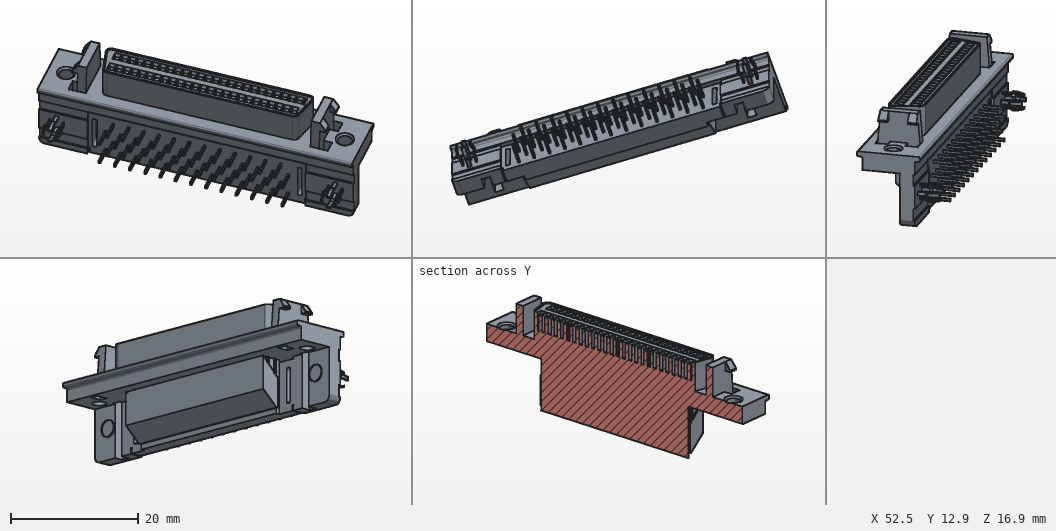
import cadquery as cq

LENGTH = 52.45
HALF_LENGTH = LENGTH / 2

FLANGE_DEPTH = 10.3
FLANGE_THICKNESS = 0.85
FLANGE_ROUNDING = 0.25
BODY_BACK = 4.25
BODY_FRONT = -4.35
BODY_BOTTOM = -3.05
BODY_ROUNDING = 0.25

FOOT_BOTTOM = -11.85

LEG_INNER_X = 18.2
LEG_BACK = -1.9
LEG_FRONT = -4.1
LEG_CORNER_RADIUS = 1.05
PAD_TOP = -4.9
PAD_BOTTOM = -8.75
TOE_TOP = -10.75

BOARD_TOP = -3.4
BOARD_BACK = LEG_BACK
BOARD_FRONT = -3.9
BOARD_GAP = 0.25
BOARD_GAP_TOP = -10.9
SLOT_X = 17.1
SLOT_WIDTH = 0.75
SLOT_TOP = -4.6
SLOT_BOTTOM = -10.45

CONTACT_COUNT = 25
PITCH = 1.27
CAVITY_WIDTH = 1.05
CAVITY_DEPTH = 3.15
CAVITY_ROWS = ((0.6, 2.05), (-2.0, -0.45))
REAR_LEAD_WIDTH = 0.4
REAR_LEAD_DEPTH = 0.85
FRONT_LEAD_SIZE = 0.2
CONTACT_WIDTH = 0.8
CONTACT_DROP = 0.4
KEY_SLOT_X = (15.95, 16.25)
KEY_SLOT_DEPTH = 0.5

PIN_WIDTH = 0.3
PIN_HEIGHT = 0.4
PIN_TIP = -7.0
PIN_TOP_ROW = -4.8
PIN_ROW_PITCH = 1.5 * PITCH
PIN_ROWS = 4

TAIL_HALF_WIDTH = 15.35
TAIL_BACK = 1.95
TAIL_PLATE_BACK = -1.2
TAIL_SLOPE_BOTTOM = -6.05
CHEEK_BACK_BOTTOM = -8.5
CHEEK_TOE_BACK = -0.95
CHEEK_BOTTOM = -10.95
TAIL_RECESS = 0.25
TAIL_WIRE_WIDTH = 0.3
TAIL_WIRE_Y = (0.8, -0.8)

SHELL_HEIGHT = 4.9
SHELL_TOP_Y = 2.8
SHELL_BOTTOM_Y = -2.9
SHELL_TOP_HALF_WIDTH = 17.5
SHELL_BOTTOM_HALF_WIDTH = 16.15
SHELL_CORNER_RADIUS = 0.9
SHELL_WALL = 0.25
INSERT_DROP = 0.1

LATCH_HEIGHT = 5.05
LATCH_INNER_X = 18.7
LATCH_OUTER_X = 20.2
HOOK_TIP_X = 21.15
HOOK_TIP_TOP = 3.7
HOOK_BOTTOM = 3.45
HOOK_INNER_Y = 1.7
LATCH_BASE_HALF_DEPTH = 3.45
LATCH_TOP_HALF_DEPTH = 3.05
WINDOW_OUTER_X = 21.6
WINDOW_INNER_Y = 1.4

SCREW_X = 23.25
SCREW_DIAMETER = 2.3
SCREW_CHAMFER = 0.3

LOCK_Z = PIN_TOP_ROW - PIN_ROW_PITCH
LOCK_BUTTON_DIAMETER = 2.75
LOCK_BUTTON_HEIGHT = 0.15
PRONG_WIDTH = 0.65
PRONG_THICKNESS = 0.25
PRONG_ROOT_OFFSET = 1.0
PRONG_BOW_OFFSET = 1.25
PRONG_TIP_OFFSET = 0.95
PRONG_BEND_START = -5.65
PRONG_BOW_START = -6.05
PRONG_BOW_END = -6.6
PRONG_TIP = -7.8


def box(x_range, y_range, z_range):
    """Box between two coordinates on each axis."""
    (x0, x1), (y0, y1), (z0, z1) = x_range, y_range, z_range
    return cq.Workplane("XY").box(x1 - x0, y1 - y0, z1 - z0, centered=False).translate((x0, y0, z0))


def both_ends(shape):
    """The shape and its mirror image at the other end of the connector."""
    return shape.union(shape.mirror("YZ"))


def extrude_along_x(points, half_width):
    """Y-Z outline extruded equally to both sides of X = 0."""
    return cq.Workplane("YZ").polyline(points).close().extrude(half_width, both=True)


def make_flange_and_body():
    half_depth = FLANGE_DEPTH / 2
    outline = [
        (-half_depth, 0),
        (half_depth, 0),
        (half_depth, -FLANGE_THICKNESS),
        (BODY_BACK, -FLANGE_THICKNESS),
        (BODY_BACK, BODY_BOTTOM),
        (BODY_FRONT, BODY_BOTTOM),
        (BODY_FRONT, -FLANGE_THICKNESS),
        (-half_depth, -FLANGE_THICKNESS),
    ]
    body = extrude_along_x(outline, HALF_LENGTH)
    body = body.edges("|X").edges("<Y or >Y").fillet(FLANGE_ROUNDING)
    for y in (BODY_BACK, BODY_FRONT):
        inner_edge = cq.selectors.NearestToPointSelector((0, y, -FLANGE_THICKNESS))
        body = body.edges("|X").edges(inner_edge).fillet(BODY_ROUNDING)
    return body


def make_leg():
    """Leg at the +X end, with its raised pad, toe and board-lock button."""
    across = (LEG_INNER_X, HALF_LENGTH)
    leg = box(across, (LEG_FRONT, LEG_BACK), (FOOT_BOTTOM, BODY_BOTTOM))
    leg = leg.union(box(across, (BODY_FRONT, LEG_BACK), (PAD_BOTTOM, PAD_TOP)))
    leg = leg.union(box(across, (BODY_FRONT, LEG_BACK), (FOOT_BOTTOM, TOE_TOP)))
    leg = leg.edges("|Y and >X and <Z").fillet(LEG_CORNER_RADIUS)
    button = (
        cq.Workplane("XZ", origin=(SCREW_X, LEG_BACK + LOCK_BUTTON_HEIGHT, LOCK_Z))
        .circle(LOCK_BUTTON_DIAMETER / 2)
        .extrude(2 * LOCK_BUTTON_HEIGHT)
    )
    return leg.union(button)


def make_pin_board():
    board_y = (BOARD_FRONT, BOARD_BACK)
    board = box((-LEG_INNER_X, LEG_INNER_X), board_y, (FOOT_BOTTOM, BOARD_TOP))
    gap = box((LEG_INNER_X - BOARD_GAP, LEG_INNER_X), board_y, (FOOT_BOTTOM, BOARD_GAP_TOP))
    slots = (
        cq.Workplane("XZ", origin=(0, BOARD_BACK, (SLOT_TOP + SLOT_BOTTOM) / 2))
        .pushPoints([(-SLOT_X, 0), (SLOT_X, 0)])
        .slot2D(SLOT_TOP - SLOT_BOTTOM, SLOT_WIDTH, 90)
        .extrude(BOARD_BACK - BOARD_FRONT)
    )
    return board.cut(both_ends(gap)).cut(slots)


def make_tail_block():
    """Cheek block under the body, joined to a narrower plate and bare tails above its sloped top."""
    slope_top = (TAIL_BACK, BODY_BOTTOM)
    slope_end = (TAIL_PLATE_BACK, TAIL_SLOPE_BOTTOM)
    cheek_bottom = [
        (TAIL_BACK, CHEEK_BACK_BOTTOM),
        (CHEEK_TOE_BACK, CHEEK_BOTTOM),
        (TAIL_PLATE_BACK, CHEEK_BOTTOM),
    ]
    cheek = extrude_along_x([slope_top, *cheek_bottom, slope_end], TAIL_HALF_WIDTH)

    plate_bottom = [(TAIL_PLATE_BACK, FOOT_BOTTOM), (BOARD_BACK, FOOT_BOTTOM)]
    above_slope = [slope_top, slope_end, *plate_bottom, (BOARD_BACK, BODY_BOTTOM)]
    core = extrude_along_x(above_slope, TAIL_HALF_WIDTH - TAIL_RECESS)

    block = cheek.union(core)
    full_width = (-TAIL_HALF_WIDTH, TAIL_HALF_WIDTH)
    for y in TAIL_WIRE_Y:
        wire_y = (y - TAIL_WIRE_WIDTH / 2, y + TAIL_WIRE_WIDTH / 2)
        block = block.union(box(full_width, wire_y, (TAIL_SLOPE_BOTTOM, BODY_BOTTOM)))
    return block


def make_shell():
    """D-shaped shell with its insert set slightly below the rim."""
    outline = [
        (-SHELL_TOP_HALF_WIDTH, SHELL_TOP_Y),
        (SHELL_TOP_HALF_WIDTH, SHELL_TOP_Y),
        (SHELL_BOTTOM_HALF_WIDTH, SHELL_BOTTOM_Y),
        (-SHELL_BOTTOM_HALF_WIDTH, SHELL_BOTTOM_Y),
    ]
    shell = cq.Workplane("XY").polyline(outline).close().extrude(SHELL_HEIGHT)
    shell = shell.edges("|Z").fillet(SHELL_CORNER_RADIUS)
    rim = shell.faces(">Z").wires().toPending()
    rim_recess = rim.offset2D(-SHELL_WALL).extrude(-INSERT_DROP, combine=False)
    return shell.cut(rim_recess)


def make_cavity(front, rear):
    """Pocket at X = 0 with sloped lead-ins front and rear, less the contact that stands in it."""
    top = SHELL_HEIGHT - INSERT_DROP
    inner_front = front + FRONT_LEAD_SIZE
    inner_rear = rear - REAR_LEAD_WIDTH
    outline = [
        (front, top),
        (inner_front, top - FRONT_LEAD_SIZE),
        (inner_front, top - CAVITY_DEPTH),
        (inner_rear, top - CAVITY_DEPTH),
        (inner_rear, top - REAR_LEAD_DEPTH),
        (rear, top),
    ]
    contact_x = (-CONTACT_WIDTH / 2, CONTACT_WIDTH / 2)
    contact = box(contact_x, (inner_front, inner_rear), (top - CAVITY_DEPTH, top - CONTACT_DROP))
    return extrude_along_x(outline, CAVITY_WIDTH / 2).cut(contact)


def make_cavities():
    """Two rows of contact cavities, and the key slot at the +X end of the rear row."""
    insert_top = SHELL_HEIGHT - INSERT_DROP
    cavities = box(KEY_SLOT_X, CAVITY_ROWS[0], (insert_top - KEY_SLOT_DEPTH, insert_top))
    first_x = -(CONTACT_COUNT - 1) / 2 * PITCH
    for front, rear in CAVITY_ROWS:
        cavity = make_cavity(front, rear).val()
        for i in range(CONTACT_COUNT):
            cavities = cavities.add(cavity.translate(cq.Vector(first_x + i * PITCH, 0, 0)))
    return cq.Workplane(cq.Compound.makeCompound(cavities.vals()))


def make_latch():
    """Tapered latch at the +X end with a hook at each side."""
    side = [
        (LATCH_INNER_X, 0),
        (LATCH_INNER_X, LATCH_HEIGHT),
        (LATCH_OUTER_X, LATCH_HEIGHT),
        (HOOK_TIP_X, HOOK_TIP_TOP),
        (HOOK_TIP_X, HOOK_BOTTOM),
        (LATCH_OUTER_X, HOOK_BOTTOM),
        (LATCH_OUTER_X, 0),
    ]
    taper = [
        (-LATCH_BASE_HALF_DEPTH, 0),
        (LATCH_BASE_HALF_DEPTH, 0),
        (LATCH_TOP_HALF_DEPTH, LATCH_HEIGHT),
        (-LATCH_TOP_HALF_DEPTH, LATCH_HEIGHT),
    ]
    latch = cq.Workplane("XZ").polyline(side).close().extrude(LATCH_BASE_HALF_DEPTH, both=True)
    latch = latch.intersect(extrude_along_x(taper, HOOK_TIP_X))
    between_hooks = box((LATCH_OUTER_X, HOOK_TIP_X), (-HOOK_INNER_Y, HOOK_INNER_Y), (0, LATCH_HEIGHT))
    return latch.cut(between_hooks)


def make_windows():
    """Openings under the hooks at the +X end, through the body and the leg."""
    window_x = (LATCH_OUTER_X, WINDOW_OUTER_X)
    rear = box(window_x, (WINDOW_INNER_Y, LATCH_BASE_HALF_DEPTH), (FOOT_BOTTOM, 0))
    return rear.union(rear.mirror("XZ"))


def make_screw_hole():
    """Countersunk through hole at the +X end."""
    radius = SCREW_DIAMETER / 2
    profile = [
        (0, 0),
        (radius + SCREW_CHAMFER, 0),
        (radius, -SCREW_CHAMFER),
        (radius, BODY_BOTTOM),
        (0, BODY_BOTTOM),
    ]
    hole = cq.Workplane("XZ").polyline(profile).close().revolve(360, (0, 0), (0, 1))
    return hole.translate((SCREW_X, 0, 0))


def make_solder_pins():
    """Staggered rows of pins: every second row holds one pin more and is offset by a pitch."""
    plane = cq.Workplane("XZ", origin=(0, BOARD_BACK, 0))
    centers = []
    column_pitch = 2 * PITCH
    for row in range(PIN_ROWS):
        count = CONTACT_COUNT // 2 + row % 2
        z = PIN_TOP_ROW - row * PIN_ROW_PITCH
        row_start = -(count - 1) / 2 * column_pitch
        centers += [(row_start + i * column_pitch, z) for i in range(count)]
    return plane.pushPoints(centers).rect(PIN_WIDTH, PIN_HEIGHT).extrude(BOARD_BACK - PIN_TIP)


def make_board_lock():
    """Four bowed prongs around the lock axis at the +X end."""
    inner_path = [
        (PRONG_ROOT_OFFSET, LEG_BACK),
        (PRONG_ROOT_OFFSET, PRONG_BEND_START),
        (PRONG_BOW_OFFSET, PRONG_BOW_START),
        (PRONG_BOW_OFFSET, PRONG_BOW_END),
        (PRONG_TIP_OFFSET, PRONG_TIP),
    ]
    outer_path = [(offset + PRONG_THICKNESS, y) for offset, y in reversed(inner_path)]
    prong = (
        cq.Workplane("XY")
        .polyline(inner_path + outer_path)
        .close()
        .extrude(PRONG_WIDTH / 2, both=True)
    )
    lock = prong
    for turn in (90, 180, 270):
        lock = lock.union(prong.rotate((0, 0, 0), (0, 1, 0), turn))
    return lock.translate((SCREW_X, 0, LOCK_Z))


result = (
    make_flange_and_body()
    .union(both_ends(make_leg()))
    .union(make_pin_board())
    .union(make_tail_block())
    .union(make_shell())
    .union(both_ends(make_latch()))
    .cut(both_ends(make_windows()))
    .cut(both_ends(make_screw_hole()))
    .cut(make_cavities())
    .union(make_solder_pins())
    .union(both_ends(make_board_lock()))
)